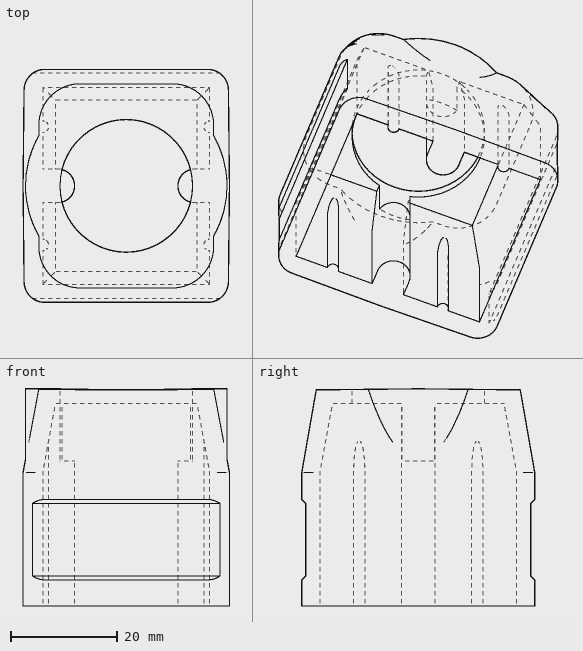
import cadquery as cq
import math

HEIGHT = 41.0
HALF_X = 19.5
HALF_Y = 22.0
BODY_CORNER_RADIUS = 3.95
SHOULDER_Z = 25.15
DRAFT_ANGLE = 0.6

NECK_HALF_X = 16.6
NECK_HALF_Y = 19.25
NECK_CORNER_RADIUS = 7.85
BULGE_RADIUS = 19.0

HOLE_DIAMETER = 25.0
ROOF_THICKNESS = 2.8
CAVITY_HALF_X = 15.75
CAVITY_HALF_Y = 18.55

POST_RADIUS = 3.15
POST_CENTER_X = 12.9
POST_TOP_Z = 27.32
RIB_RADIUS = 1.1
RIB_Y = 11.15

GROOVE_DEPTH = 0.75
GROOVE_FLOOR_BOTTOM_Z = 5.68
GROOVE_FLOOR_TOP_Z = 19.35

DRAFT_SLOPE = math.tan(math.radians(DRAFT_ANGLE))
CEILING_Z = HEIGHT - ROOF_THICKNESS
SIDES = (-1, 1)


def drafted_outline(z, half_x, half_y, corner_radius):
    """Rounded rectangle whose X sides peak slightly at Y = 0."""
    arc_y = half_y - corner_radius
    side_x = half_x - DRAFT_SLOPE * arc_y
    arc_x = side_x - corner_radius
    return (
        cq.Workplane("XY", origin=(0, 0, z))
        .moveTo(half_x, 0)
        .lineTo(side_x, arc_y)
        .radiusArc((arc_x, half_y), -corner_radius)
        .lineTo(-arc_x, half_y)
        .radiusArc((-side_x, arc_y), -corner_radius)
        .lineTo(-half_x, 0)
        .lineTo(-side_x, -arc_y)
        .radiusArc((-arc_x, -half_y), -corner_radius)
        .lineTo(arc_x, -half_y)
        .radiusArc((side_x, -arc_y), -corner_radius)
        .close()
    )


def ruled_loft(lower_outline, upper_outline):
    wires = [outline.wire().val() for outline in (lower_outline, upper_outline)]
    return cq.Workplane(cq.Solid.makeLoft(wires, True))


def outer_shell():
    body_outline = (HALF_X, HALF_Y, BODY_CORNER_RADIUS)
    body = drafted_outline(0, *body_outline).extrude(SHOULDER_Z)
    neck = ruled_loft(
        drafted_outline(SHOULDER_Z, *body_outline),
        drafted_outline(HEIGHT, NECK_HALF_X, NECK_HALF_Y, NECK_CORNER_RADIUS),
    )
    bulge_width = 2 * (NECK_HALF_Y - NECK_CORNER_RADIUS)
    bulge = (
        cq.Workplane("XY", origin=(0, 0, SHOULDER_Z))
        .circle(BULGE_RADIUS)
        .extrude(HEIGHT - SHOULDER_Z)
        .intersect(cq.Workplane("XY").box(2 * HALF_X, bulge_width, 2 * HEIGHT))
    )
    eave_z = HEIGHT - DRAFT_SLOPE * HALF_Y
    roof_limit = (
        cq.Workplane("YZ")
        .polyline([(-HALF_Y, 0), (HALF_Y, 0), (HALF_Y, eave_z), (0, HEIGHT), (-HALF_Y, eave_z)])
        .close()
        .extrude(HALF_X, both=True)
    )
    return body.union(neck).union(bulge).intersect(roof_limit)


def cavity():
    """Straight lower room with an upper room that tapers like the neck."""
    taper_x = HALF_X - NECK_HALF_X
    rise_share = (CEILING_Z - SHOULDER_Z) / (HEIGHT - SHOULDER_Z)
    inset = taper_x * rise_share
    lower = cq.Workplane("XY").rect(2 * CAVITY_HALF_X, 2 * CAVITY_HALF_Y).extrude(SHOULDER_Z)
    upper = ruled_loft(
        cq.Workplane("XY", origin=(0, 0, SHOULDER_Z)).rect(2 * CAVITY_HALF_X, 2 * CAVITY_HALF_Y),
        cq.Workplane("XY", origin=(0, 0, CEILING_Z)).rect(
            2 * (CAVITY_HALF_X - inset), 2 * (CAVITY_HALF_Y - inset)
        ),
    )
    return lower.union(upper)


def posts_and_ribs():
    """Round-nosed posts and half-round ribs, reaching from the floor plane to the ceiling."""
    solids = cq.Workplane("XY")
    reach = CAVITY_HALF_X - POST_CENTER_X
    for side in SIDES:
        nose = cq.Workplane("XY").center(side * POST_CENTER_X, 0).circle(POST_RADIUS).extrude(CEILING_Z)
        web = (
            cq.Workplane("XY")
            .center(side * (POST_CENTER_X + reach / 2), 0)
            .rect(reach, 2 * POST_RADIUS)
            .extrude(CEILING_Z)
        )
        ribs = (
            cq.Workplane("XY")
            .pushPoints([(side * CAVITY_HALF_X, -RIB_Y), (side * CAVITY_HALF_X, RIB_Y)])
            .circle(RIB_RADIUS)
            .extrude(CEILING_Z)
        )
        solids = solids.union(nose).union(web).union(ribs)
    return solids


def cable_opening():
    return (
        cq.Workplane("XY", origin=(0, 0, POST_TOP_Z))
        .circle(HOLE_DIAMETER / 2)
        .extrude(HEIGHT - POST_TOP_Z)
    )


def label_groove(side):
    """Trapezoidal groove with 45-degree flanks, running the full width of one Y side."""
    floor_y = side * (HALF_Y - GROOVE_DEPTH)
    return (
        cq.Workplane("YZ")
        .polyline([
            (floor_y, GROOVE_FLOOR_BOTTOM_Z),
            (floor_y, GROOVE_FLOOR_TOP_Z),
            (side * HALF_Y, GROOVE_FLOOR_TOP_Z + GROOVE_DEPTH),
            (side * HALF_Y, GROOVE_FLOOR_BOTTOM_Z - GROOVE_DEPTH),
        ])
        .close()
        .extrude(HALF_X, both=True)
    )


inner_space = cavity().cut(posts_and_ribs())
result = outer_shell().cut(inner_space).cut(cable_opening())
for groove_side in SIDES:
    result = result.cut(label_groove(groove_side))